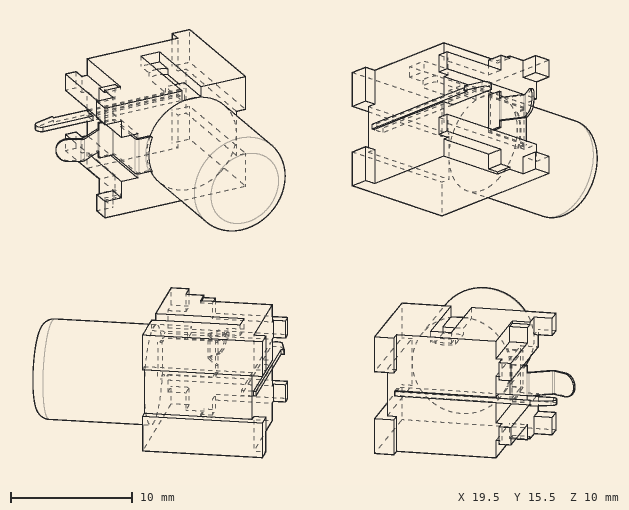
import cadquery as cq
import math


BODY = 10.0
HALF = BODY / 2
FOOT = 1.01
CHANNEL_HALF = 2.0
UPPER_CHANNEL_Y = 4.15
LOWER_CHANNEL_Y = -HALF
RAIL_Y = -6.5
BOSS_Y = -8.0
BOSS_LENGTH = 1.5
BOSS_THICKNESS = 1.5
UPPER_FOOT_Y = 3.37
LOWER_FOOT_Y = -5.5
NOTCH_END_X = 6.03
STEP_END_X = 7.0
STEP_DEPTH = 0.2

SLOT_START_X = 2.61
SLOT_WIDTH = 1.74
SLOT_DEPTH = 0.92
POCKET_START_X = 3.75
POCKET_END_X = STEP_END_X
POCKET_END_RADIUS = 1.27
POCKET_DEPTH = 1.45

BARREL_DIAMETER = 8.29
BARREL_RADIUS = BARREL_DIAMETER / 2
BARREL_END_X = 19.5
BARREL_ROUND = 1.01

BLADE_THICKNESS = 0.4
BLADE_X = 0.82
BLADE_WIDTH = 1.2
BLADE_TOP_Y = 3.5
BARB_X = 0.57
BARB_Y = -8.0
BLADE_SHOULDER_Y = -9.63
BLADE_TIP_Y = -10.0

SHEET = 0.2
SHEET_WIDTH = 3.15
BEND_RADIUS = 0.05
TAIL_BEND_RADIUS = 0.2
PLATE_X = 5.83
TAIL_BEND_Y = -6.6
KNEE_X = 6.86
KNEE_Y = -8.5
TAIL_TIP_X = 5.87
TAIL_TIP_Y = -10.41
TAIL_HALF_WIDTH = 1.0
TAIL_CORNER_RADIUS = 0.98
COLLAR_RADIUS = 0.2


def box(x0, x1, y0, y1, z0, z1):
    return cq.Workplane("XY").box(x1 - x0, y1 - y0, z1 - z0, centered=False).translate((x0, y0, z0))


def mirrored_pair(shape):
    """The shape together with its mirror image across the Z = 0 plane."""
    return shape.union(shape.mirror("XY"))


def slot_cut():
    half_width = SLOT_WIDTH / 2
    slot = box(SLOT_START_X, BODY, -half_width, half_width, HALF - SLOT_DEPTH, HALF)
    arc_rise = POCKET_END_RADIUS - math.sqrt(POCKET_END_RADIUS**2 - half_width**2)
    pocket = (
        cq.Workplane("XY")
        .workplane(offset=HALF - POCKET_DEPTH)
        .moveTo(POCKET_END_X, half_width)
        .lineTo(POCKET_START_X + arc_rise, half_width)
        .threePointArc((POCKET_START_X, 0), (POCKET_START_X + arc_rise, -half_width))
        .lineTo(POCKET_END_X, -half_width)
        .close()
        .extrude(POCKET_DEPTH)
    )
    return slot.union(pocket)


def make_housing(blade):
    body = box(FOOT, BODY, RAIL_Y, HALF, -HALF, HALF)

    upper_channel = box(0, BODY, UPPER_CHANNEL_Y, HALF, -CHANNEL_HALF, CHANNEL_HALF)
    lower_channel = box(0, BODY, RAIL_Y, LOWER_CHANNEL_Y, -CHANNEL_HALF, CHANNEL_HALF)
    body = body.cut(upper_channel).cut(lower_channel)

    floor_edge = cq.selectors.NearestToPointSelector((BODY, LOWER_CHANNEL_Y, 0))
    body = body.edges(floor_edge).fillet(BEND_RADIUS)

    rail_outer_z = HALF - BOSS_THICKNESS
    notch = box(0, NOTCH_END_X, RAIL_Y, LOWER_CHANNEL_Y, rail_outer_z, HALF)
    step = box(0, STEP_END_X, RAIL_Y, LOWER_CHANNEL_Y, HALF - STEP_DEPTH, HALF)
    body = body.cut(mirrored_pair(notch.union(step)))

    upper_foot = box(0, FOOT, UPPER_FOOT_Y, HALF, CHANNEL_HALF, HALF)
    lower_foot = box(0, FOOT, RAIL_Y, LOWER_FOOT_Y, CHANNEL_HALF, rail_outer_z)
    boss = box(BODY - BOSS_LENGTH, BODY, BOSS_Y, RAIL_Y, rail_outer_z, HALF)
    for feature in (upper_foot, lower_foot, boss):
        body = body.union(mirrored_pair(feature))

    return body.cut(slot_cut()).cut(blade)


def make_barrel():
    barrel = cq.Workplane("YZ").workplane(offset=BODY).circle(BARREL_RADIUS).extrude(BARREL_END_X - BODY)
    return barrel.faces(">X").edges().fillet(BARREL_ROUND)


def make_blade():
    front_x = BLADE_X + BLADE_WIDTH
    tip_rear_x = FOOT
    return (
        cq.Workplane("XY")
        .moveTo(BLADE_X, BLADE_TOP_Y)
        .lineTo(BLADE_X, BARB_Y)
        .lineTo(BARB_X, BARB_Y)
        .lineTo(tip_rear_x, BLADE_SHOULDER_Y)
        .threePointArc(((tip_rear_x + front_x) / 2, BLADE_TIP_Y), (front_x, BLADE_SHOULDER_Y))
        .lineTo(front_x, BLADE_TOP_Y)
        .close()
        .extrude(BLADE_THICKNESS / 2, both=True)
    )


def left_offset(path, distance):
    """Mitred copy of an open path, moved to the left of its direction of travel."""
    headings = [math.atan2(b[1] - a[1], b[0] - a[0]) for a, b in zip(path, path[1:])]
    before = headings[:1] + headings
    after = headings + headings[-1:]
    moved = []
    for (x, y), start, end in zip(path, before, after):
        normal = (start + end) / 2 + math.pi / 2
        reach = distance / math.cos((end - start) / 2)
        moved.append((x + reach * math.cos(normal), y + reach * math.sin(normal)))
    return moved


def spring_width_limit():
    """Space that holds the wide sheet above the rail faces and the narrow tail below them."""
    half_width = SHEET_WIDTH / 2
    wide = box(0, BARREL_END_X, RAIL_Y, 0, -half_width, half_width)
    narrow = box(0, BARREL_END_X, 2 * TAIL_TIP_Y, RAIL_Y, -TAIL_HALF_WIDTH, TAIL_HALF_WIDTH)
    return wide.union(narrow)


def make_collar():
    """Ring with a concave flare, revolved about the barrel axis."""
    leg_front_x = BODY + SHEET
    arc_gap = COLLAR_RADIUS * (1 - math.sqrt(0.5))
    return (
        cq.Workplane("XY")
        .moveTo(BODY, BARREL_RADIUS)
        .lineTo(leg_front_x + COLLAR_RADIUS, BARREL_RADIUS)
        .threePointArc(
            (leg_front_x + arc_gap, BARREL_RADIUS + arc_gap),
            (leg_front_x, BARREL_RADIUS + COLLAR_RADIUS),
        )
        .lineTo(BODY, BARREL_RADIUS + COLLAR_RADIUS)
        .close()
        .revolve(360, (0, 0, 0), (1, 0, 0))
    )


def round_corner(strip, corner, radius):
    x, y = corner
    return strip.edges(cq.selectors.NearestToPointSelector((x, y, 0))).fillet(radius)


def make_spring(barrel):
    path = [
        (BODY, 0),
        (BODY, LOWER_CHANNEL_Y),
        (PLATE_X, LOWER_CHANNEL_Y),
        (PLATE_X, TAIL_BEND_Y),
        (KNEE_X, KNEE_Y),
        (TAIL_TIP_X, TAIL_TIP_Y),
    ]
    outer = left_offset(path, SHEET)
    strip = cq.Workplane("XY").polyline(path + outer[::-1]).close().extrude(SHEET_WIDTH / 2, both=True)

    bends = [
        (path[1], outer[1], BEND_RADIUS),
        (outer[2], path[2], BEND_RADIUS),
        (outer[3], path[3], TAIL_BEND_RADIUS),
        (path[4], outer[4], TAIL_BEND_RADIUS),
    ]
    for inside, outside, radius in bends:
        strip = round_corner(strip, inside, radius)
        strip = round_corner(strip, outside, radius + SHEET)

    spring = strip.union(make_collar()).intersect(spring_width_limit()).cut(barrel)

    tip_x = (path[-1][0] + outer[-1][0]) / 2
    tip_y = (path[-1][1] + outer[-1][1]) / 2
    for z in (-TAIL_HALF_WIDTH, TAIL_HALF_WIDTH):
        corner = cq.selectors.NearestToPointSelector((tip_x, tip_y, z))
        spring = spring.edges(corner).fillet(TAIL_CORNER_RADIUS)
    return spring


blade = make_blade()
barrel = make_barrel()
spring = make_spring(barrel)
housing = make_housing(blade)

result = cq.Compound.makeCompound([housing.val(), barrel.val(), spring.val(), blade.val()])